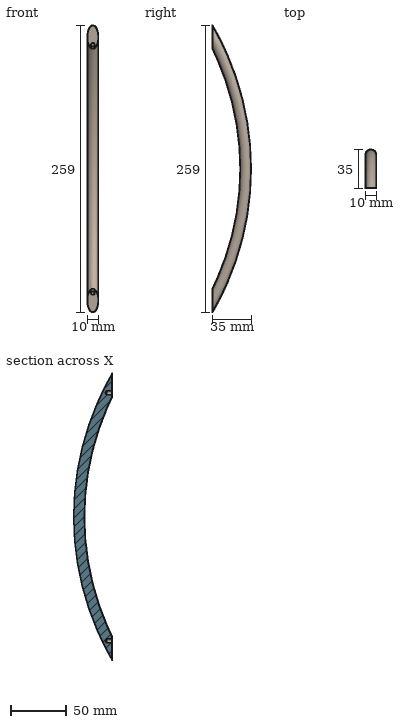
import cadquery as cq
import math

bar_diameter = 10.0
projection = 35.0
overall_length = 259.01

hole_spacing = 224.0
hole_diameter = 3.3
hole_depth = 5.0
drill_point_angle = 118.0

bar_radius = bar_diameter / 2
half_length = overall_length / 2
outer_radius = (half_length**2 + projection**2) / (2 * projection)
centerline_radius = outer_radius - bar_radius
bend_center_y = projection - outer_radius

hole_radius = hole_diameter / 2
drill_point_height = hole_radius / math.tan(math.radians(drill_point_angle / 2))


def bent_bar():
    """Ring of round bar about an X axis, kept only behind the mounting plane Y = 0."""
    ring = (
        cq.Workplane("XY", origin=(0, bend_center_y - centerline_radius, 0))
        .circle(bar_radius)
        .revolve(360, (0, centerline_radius, 0), (1, centerline_radius, 0))
    )
    keep = cq.Workplane("XY").box(
        2 * bar_diameter,
        2 * projection,
        2 * overall_length,
        centered=(True, False, True),
    )
    return ring.intersect(keep)


def screw_hole(z):
    """Drilled hole with a conical bottom, running along +Y from the mounting plane."""
    profile = (
        cq.Workplane("XY", origin=(0, 0, z))
        .lineTo(hole_radius, 0)
        .lineTo(hole_radius, hole_depth)
        .lineTo(0, hole_depth + drill_point_height)
        .close()
    )
    return profile.revolve(360, (0, 0, 0), (0, 1, 0))


result = bent_bar()
for side in (-1, 1):
    result = result.cut(screw_hole(side * hole_spacing / 2))